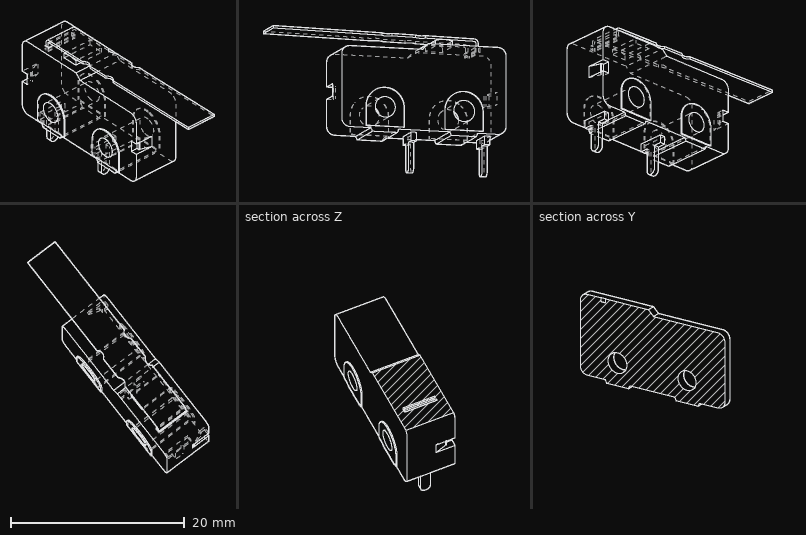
import cadquery as cq
import math


case_left = -5.1
case_right = 14.7
case_bottom = -2.5
case_top = 7.7
case_low_top = 7.0
step_start = 4.25
case_depth = 6.1
corner_radius = 1.0

hole_pitch = 9.5
hole_diameters = {0: 2.5, hole_pitch: 2.4}
pad_radius = 2.3
pad_bottom = -2.25
pad_height = 0.15
foot_height = 0.4
foot_base_width = 3.4
foot_tip_width = 3.0

window_bottom = 1.67
window_top = 3.1
window_depth = 0.85

hook_depth = 0.5
hook_start_y = -0.63
hook_end_y = -2.05
window_wall_y = -2.2

terminal_centers = (-3.25, 5.6)
terminal_thickness = 0.62
terminal_tip = -7.0
blade_width = 1.26
shoulder_width = 3.27
shoulder_bottom = -3.5

lever_left = -2.07
lever_right = 22.61
lever_top = 9.07
lever_width = 4.0
lever_center_y = -0.05
lever_thickness = 0.3
lever_tilt = 0.76
bend_radius = 0.5
notch_centers = (4.9, 8.93)
notch_width = 1.23
notch_depth = 0.33

slot_left = -2.25
slot_right = -1.65
slot_front = lever_center_y - lever_width / 2
slot_back = 2.0
slot_depth = 0.5

plunger_left = 1.05
plunger_right = 3.07
plunger_shoulder = 8.33
plunger_top = 8.48
plunger_width = 4.0


def front_block(outline, depth):
    """Extrude an XZ sketch symmetrically about the middle plane of the case."""
    return outline.extrude(depth / 2, both=True)


def make_case():
    step_end = step_start + case_top - case_low_top
    outline = (
        cq.Workplane("XZ")
        .moveTo(case_left, case_bottom)
        .lineTo(case_right, case_bottom)
        .lineTo(case_right, case_low_top)
        .lineTo(step_end, case_low_top)
        .lineTo(step_start, case_top)
        .lineTo(case_left, case_top)
        .close()
    )
    case = front_block(outline, case_depth)
    end_corners = case.edges("|Y and (<X or >X)")
    return end_corners.fillet(corner_radius)


def make_pad(center_x):
    outline = (
        cq.Workplane("XZ")
        .moveTo(center_x - pad_radius, pad_bottom)
        .lineTo(center_x + pad_radius, pad_bottom)
        .lineTo(center_x + pad_radius, 0)
        .threePointArc((center_x, pad_radius), (center_x - pad_radius, 0))
        .close()
    )
    return front_block(outline, case_depth + 2 * pad_height)


def make_foot(center_x):
    outline = (
        cq.Workplane("XZ")
        .moveTo(center_x - foot_base_width / 2, case_bottom)
        .lineTo(center_x - foot_tip_width / 2, case_bottom - foot_height)
        .lineTo(center_x + foot_tip_width / 2, case_bottom - foot_height)
        .lineTo(center_x + foot_base_width / 2, case_bottom)
        .close()
    )
    return front_block(outline, case_depth)


def make_hole(center_x, diameter):
    outline = cq.Workplane("XZ").center(center_x, 0).circle(diameter / 2)
    return front_block(outline, case_depth + 2 * pad_height)


def make_left_window():
    """Window open to the front, with the ramp of the snap hook inside it."""
    return (
        cq.Workplane("XY")
        .workplane(offset=window_bottom)
        .moveTo(case_left, -case_depth / 2)
        .lineTo(case_left, hook_start_y)
        .lineTo(case_left + hook_depth, hook_end_y)
        .lineTo(case_left + hook_depth, window_wall_y)
        .lineTo(case_left + window_depth, window_wall_y)
        .lineTo(case_left + window_depth, -case_depth / 2)
        .close()
        .extrude(window_top - window_bottom)
    )


def make_terminal(center_x):
    tip_radius = blade_width / 2
    tip_center = terminal_tip + tip_radius
    return (
        cq.Workplane("YZ")
        .workplane(offset=center_x - terminal_thickness / 2)
        .moveTo(-shoulder_width / 2, case_bottom)
        .lineTo(-shoulder_width / 2, shoulder_bottom)
        .lineTo(-tip_radius, shoulder_bottom)
        .lineTo(-tip_radius, tip_center)
        .threePointArc((0, terminal_tip), (tip_radius, tip_center))
        .lineTo(tip_radius, shoulder_bottom)
        .lineTo(shoulder_width / 2, shoulder_bottom)
        .lineTo(shoulder_width / 2, case_bottom)
        .close()
        .extrude(terminal_thickness)
    )


def make_slot():
    slot_length = slot_right - slot_left
    slot_width = slot_back - slot_front
    slot = cq.Workplane("XY").box(slot_length, slot_width, slot_depth, centered=False)
    return slot.translate((slot_left, slot_front, case_top - slot_depth))


def make_lever_notch(center_x, side):
    edge_y = lever_center_y + side * lever_width / 2
    floor_y = edge_y - side * notch_depth
    return (
        cq.Workplane("XY")
        .workplane(offset=case_top)
        .moveTo(center_x - notch_width / 2, edge_y)
        .threePointArc((center_x, floor_y), (center_x + notch_width / 2, edge_y))
        .close()
        .extrude(lever_top - case_top)
    )


def make_lever():
    """Bent strip: an upright leg in the slot and a long arm rising slightly to +X."""
    tilt = math.radians(lever_tilt)
    rise = (lever_right - lever_left) * math.tan(tilt)
    leg_bottom = case_top - slot_depth
    inner_left = lever_left + lever_thickness
    arm_drop = lever_thickness / math.cos(tilt)
    inner_rise = (lever_right - inner_left) * math.tan(tilt)
    outline = (
        cq.Workplane("XZ")
        .moveTo(lever_left, leg_bottom)
        .lineTo(lever_left, lever_top - rise)
        .lineTo(lever_right, lever_top)
        .lineTo(lever_right, lever_top - arm_drop)
        .lineTo(inner_left, lever_top - arm_drop - inner_rise)
        .lineTo(inner_left, leg_bottom)
        .close()
    )
    lever = front_block(outline, lever_width).translate((0, lever_center_y, 0))
    outer_corner = (lever_left, lever_center_y, lever_top - rise)
    inner_corner = (inner_left, lever_center_y, lever_top - arm_drop - inner_rise)
    outer_bend = cq.selectors.NearestToPointSelector(outer_corner)
    inner_bend = cq.selectors.NearestToPointSelector(inner_corner)
    lever = lever.edges(outer_bend).fillet(bend_radius)
    lever = lever.edges(inner_bend).fillet(bend_radius - lever_thickness)
    for center_x in notch_centers:
        for side in (-1, 1):
            lever = lever.cut(make_lever_notch(center_x, side))
    return lever


def make_plunger():
    center_x = (plunger_left + plunger_right) / 2
    outline = (
        cq.Workplane("XZ")
        .moveTo(plunger_left, case_top)
        .lineTo(plunger_right, case_top)
        .lineTo(plunger_right, plunger_shoulder)
        .threePointArc((center_x, plunger_top), (plunger_left, plunger_shoulder))
        .close()
    )
    return front_block(outline, plunger_width).translate((0, lever_center_y, 0))


left_window = make_left_window()
right_window = left_window.mirror("YZ", ((case_left + case_right) / 2, 0, 0))

result = make_case().cut(left_window).cut(right_window).cut(make_slot())

for hole_x in hole_diameters:
    result = result.union(make_pad(hole_x)).union(make_foot(hole_x))

for hole_x, hole_diameter in hole_diameters.items():
    result = result.cut(make_hole(hole_x, hole_diameter))

for terminal_x in terminal_centers:
    result = result.union(make_terminal(terminal_x))

result = result.union(make_plunger()).union(make_lever())